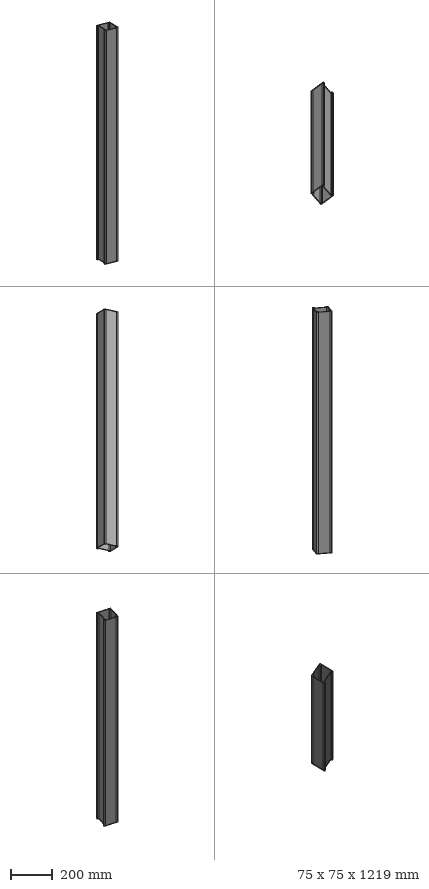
import cadquery as cq

length = 1219.0
side = 75.0
wall = 1.5
corner_block = 9.0
leg_width = 9.0
leg_depth = 7.0

half = side / 2
rear = half
front = -half
web_front = front + leg_depth
cavity_half = half - wall


def block(x_min, x_max, y_min, y_max):
    """Full-length bar over the given rectangle, centred on Z = 0."""
    return (
        cq.Workplane("XY")
        .box(x_max - x_min, y_max - y_min, length, centered=(False, False, True))
        .translate((x_min, y_min, 0))
    )


tube = block(-half, half, web_front, rear)
cavity = block(-cavity_half, cavity_half, web_front + wall, rear - wall)
result = tube.cut(cavity)

for x_min, x_max in ((-half, -half + corner_block), (half - corner_block, half)):
    result = result.union(block(x_min, x_max, rear - corner_block, rear))

for x_min, x_max in ((-half, -half + leg_width), (half - leg_width, half)):
    result = result.union(block(x_min, x_max, front, web_front))